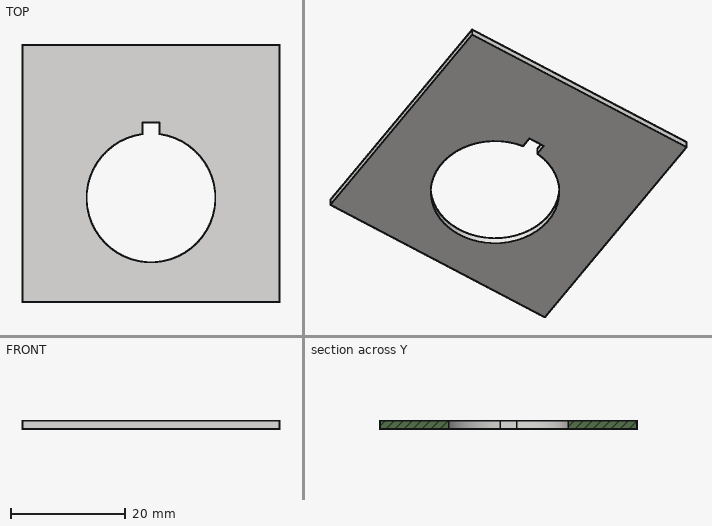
import cadquery as cq

plate_side = 45.0
plate_thickness = 1.5

hole_diameter = 22.5
hole_center_y = -4.28

key_width = 2.95
key_reach = 13.2


def make_plate():
    return cq.Workplane("XY").box(plate_side, plate_side, plate_thickness)


def make_opening():
    """Through cutter: a round hole with a rectangular keyway towards +Y."""
    hole = (
        cq.Workplane("XY")
        .center(0, hole_center_y)
        .circle(hole_diameter / 2)
        .extrude(plate_thickness, both=True)
    )
    keyway = (
        cq.Workplane("XY")
        .center(0, hole_center_y + key_reach / 2)
        .rect(key_width, key_reach)
        .extrude(plate_thickness, both=True)
    )
    return hole.union(keyway)


result = make_plate().cut(make_opening())